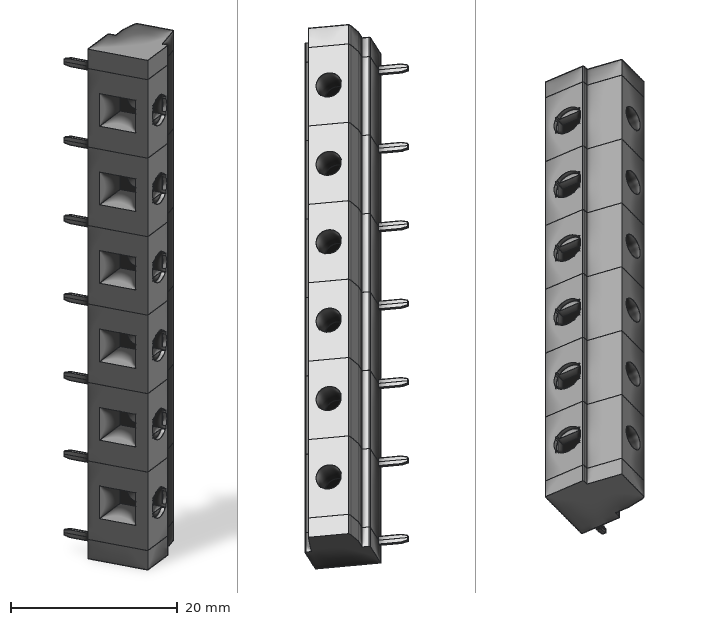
import cadquery as cq

strip_length = 66.05
pole_count = 6
pole_pitch = 10.2
end_length = (strip_length - pole_count * pole_pitch) / 2

base_width = 8.05
housing_depth = 10.0
ledge_y = 5.5
ledge_chamfer = 0.1
neck_left_x = 1.0
neck_right_x = 7.25
neck_bend_y = 7.4
crown_left_x = 1.6
crown_right_x = 6.55
crown_chamfer_width = 0.2
crown_chamfer_drop = 0.4

pocket_left_x = 1.6
pocket_right_x = 6.4
pocket_width = pocket_right_x - pocket_left_x
pocket_height = 4.2
pocket_depth = ledge_y

rear_hole_diameter = 3.1
rear_hole_x = 4.0

window_center_y = 3.2
window_width = 3.45
window_height = 2.45
recess_diameter = 3.8
recess_depth = 0.5

pin_length = 3.55
pin_width = 1.0
pin_tip_width = 0.6
pin_taper_length = 0.8
pin_thickness = 0.45
pin_bottom_y = 0.65


def housing_block(z_start, length):
    """Length of the plain stepped housing profile."""
    return (
        cq.Workplane("XY", origin=(0, 0, z_start))
        .moveTo(0, 0)
        .lineTo(base_width, 0)
        .lineTo(base_width, ledge_y - ledge_chamfer)
        .lineTo(base_width - ledge_chamfer, ledge_y)
        .lineTo(neck_right_x, ledge_y)
        .lineTo(crown_right_x, housing_depth)
        .lineTo(crown_left_x, housing_depth)
        .lineTo(crown_left_x - crown_chamfer_width, housing_depth - crown_chamfer_drop)
        .lineTo(neck_left_x, neck_bend_y)
        .lineTo(neck_left_x, ledge_y)
        .lineTo(ledge_chamfer, ledge_y)
        .lineTo(0, ledge_y - ledge_chamfer)
        .close()
        .extrude(length)
    )


def half_pin(joint_z, direction):
    """Half of a pin, lying on the +Z (direction 1) or -Z (direction -1) side of a joint."""
    side_z = joint_z + direction * pin_width / 2
    tip_z = joint_z + direction * pin_tip_width / 2
    return (
        cq.Workplane("XZ", origin=(0, pin_bottom_y, 0))
        .moveTo(0, joint_z)
        .lineTo(0, side_z)
        .lineTo(pin_taper_length - pin_length, side_z)
        .lineTo(-pin_length, tip_z)
        .lineTo(-pin_length, joint_z)
        .close()
        .extrude(-pin_thickness)
    )


def wire_opening(center_z):
    """Pocket with its rear hole toward +Y and its recessed window toward +X."""
    pocket = cq.Workplane("XY", origin=(pocket_left_x, 0, center_z)).box(
        pocket_width, pocket_depth, pocket_height, centered=(False, False, True)
    )
    rear_hole = (
        cq.Workplane("XZ", origin=(rear_hole_x, 0, center_z))
        .circle(rear_hole_diameter / 2)
        .extrude(-housing_depth)
    )
    window = cq.Workplane("XY", origin=(pocket_left_x, window_center_y, center_z)).box(
        base_width - pocket_left_x, window_width, window_height, centered=(False, True, True)
    )
    recess = (
        cq.Workplane("YZ", origin=(base_width, window_center_y, center_z))
        .circle(recess_diameter / 2)
        .extrude(-recess_depth)
    )
    return pocket.union(rear_hole).union(window).union(recess)


def pole_module(z_start):
    """One pole: a housing with a wire opening and half a pin at each joint."""
    z_end = z_start + pole_pitch
    block = housing_block(z_start, pole_pitch).cut(wire_opening(z_start + pole_pitch / 2))
    return block.union(half_pin(z_start, 1)).union(half_pin(z_end, -1))


def end_piece(joint_z, direction):
    """Plain housing slice with half a pin, running from a joint to one end of the strip."""
    z_start = min(joint_z, joint_z + direction * end_length)
    return housing_block(z_start, end_length).union(half_pin(joint_z, direction))


first_joint_z = -pole_count * pole_pitch / 2
last_joint_z = -first_joint_z

poles = [pole_module(first_joint_z + i * pole_pitch) for i in range(pole_count)]
lower_end = end_piece(first_joint_z, -1)
upper_end = end_piece(last_joint_z, 1)

result = cq.Compound.makeCompound(
    [lower_end.val(), *[pole.val() for pole in poles], upper_end.val()]
)